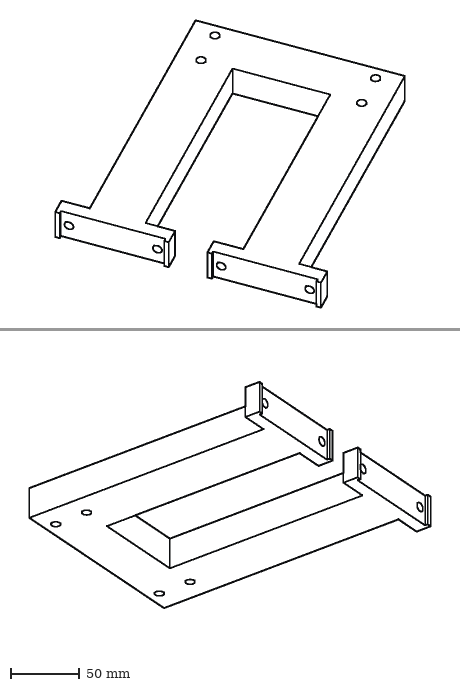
import cadquery as cq

length = 228.5
width = 209.6
thickness = 25.4

body_width = 165.0
slot_width = 77.0
bridge_depth = 38.5

foot_width = 89.5
foot_depth = 13.0
lip_width = 3.7
lip_depth = 2.5

hole_diameter = 7.0
foot_hole_spacing = 69.7
bridge_hole_spacing_x = 126.6
bridge_hole_spacing_y = 28.3
bridge_hole_rear_margin = 10.0

foot_center_x = (width - foot_width) / 2


def block(center_x, size_x, front_y, rear_y):
    """Full-thickness block centred on Z = 0 between two Y positions."""
    size_y = rear_y - front_y
    return cq.Workplane("XY").box(size_x, size_y, thickness).translate((center_x, (front_y + rear_y) / 2, 0))


def make_body():
    outer = block(0, body_width, lip_depth, length)
    slot = block(0, slot_width, 0, length - bridge_depth)
    return outer.cut(slot)


def make_foot(center_x):
    foot = block(center_x, foot_width, 0, foot_depth)
    recess = block(center_x, foot_width - 2 * lip_width, 0, lip_depth)
    holes = (
        cq.Workplane("XZ")
        .pushPoints([(center_x + side * foot_hole_spacing / 2, 0) for side in (-1, 1)])
        .circle(hole_diameter / 2)
        .extrude(-foot_depth)
    )
    return foot.cut(recess).cut(holes)


def make_bridge_holes():
    hole_center_y = length - bridge_hole_rear_margin - bridge_hole_spacing_y / 2
    return (
        cq.Workplane("XY")
        .center(0, hole_center_y)
        .rarray(bridge_hole_spacing_x, bridge_hole_spacing_y, 2, 2)
        .circle(hole_diameter / 2)
        .extrude(thickness / 2, both=True)
    )


result = make_body()
for side in (-1, 1):
    result = result.union(make_foot(side * foot_center_x))
result = result.cut(make_bridge_holes())